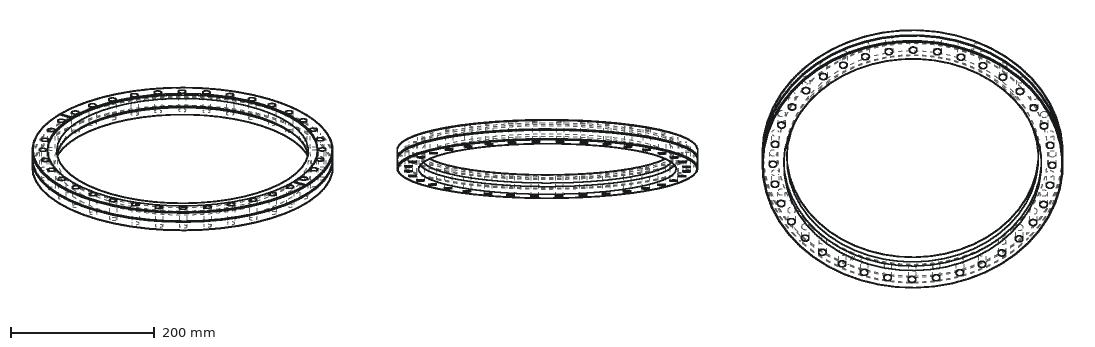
import cadquery as cq
import math

outer_radius = 209.5
thickness = 28.5
edge_chamfer = 1.3

bore_radius = 175.0
socket_radius = 179.5
cone_top_height = 1.0
cone_bottom_height = cone_top_height - (socket_radius - bore_radius)

recess_radius = 188.0
knife_radius = 185.5
knife_depth = 1.5
knife_slope = 15.0

rim_groove_width = 1.5
rim_groove_depth = rim_groove_width / 2

bolt_count = 36
bolt_circle_radius = 194.5
bolt_hole_diameter = 10.5

leak_groove_width = 2.5
leak_groove_depth = 0.5
leak_groove_radius = (leak_groove_width**2 / 4 + leak_groove_depth**2) / (2 * leak_groove_depth)
leak_groove_angles = (180 / bolt_count, 180 + 180 / bolt_count)

half_thickness = thickness / 2
knife_height = half_thickness - knife_depth
gutter_height = knife_height - (recess_radius - knife_radius) * math.tan(math.radians(knife_slope))


def ring_body():
    """Revolve the ring's cross-section about Z; the origin is at mid height."""
    section = [
        (bore_radius, cone_top_height),
        (bore_radius, knife_height),
        (knife_radius, knife_height),
        (recess_radius, gutter_height),
        (recess_radius, half_thickness),
        (outer_radius - edge_chamfer, half_thickness),
        (outer_radius, half_thickness - edge_chamfer),
        (outer_radius, rim_groove_width / 2),
        (outer_radius - rim_groove_depth, 0),
        (outer_radius, -rim_groove_width / 2),
        (outer_radius, edge_chamfer - half_thickness),
        (outer_radius - edge_chamfer, -half_thickness),
        (socket_radius, -half_thickness),
        (socket_radius, cone_bottom_height),
    ]
    return cq.Workplane("XZ").polyline(section).close().revolve(360, (0, 0), (0, 1))


def bolt_holes():
    return (
        cq.Workplane("XY", origin=(0, 0, -half_thickness))
        .polarArray(bolt_circle_radius, 0, 360, bolt_count)
        .circle(bolt_hole_diameter / 2)
        .extrude(thickness)
    )


def leak_groove(angle):
    """Shallow round-bottomed radial groove in the top face, from the gasket recess out through the rim."""
    start_radius = (knife_radius + recess_radius) / 2
    center_height = half_thickness - leak_groove_depth + leak_groove_radius
    return (
        cq.Workplane("YZ", origin=(start_radius, 0, center_height))
        .circle(leak_groove_radius)
        .extrude(outer_radius - start_radius)
        .rotate((0, 0, 0), (0, 0, 1), angle)
    )


result = ring_body().cut(bolt_holes())
for groove_angle in leak_groove_angles:
    result = result.cut(leak_groove(groove_angle))